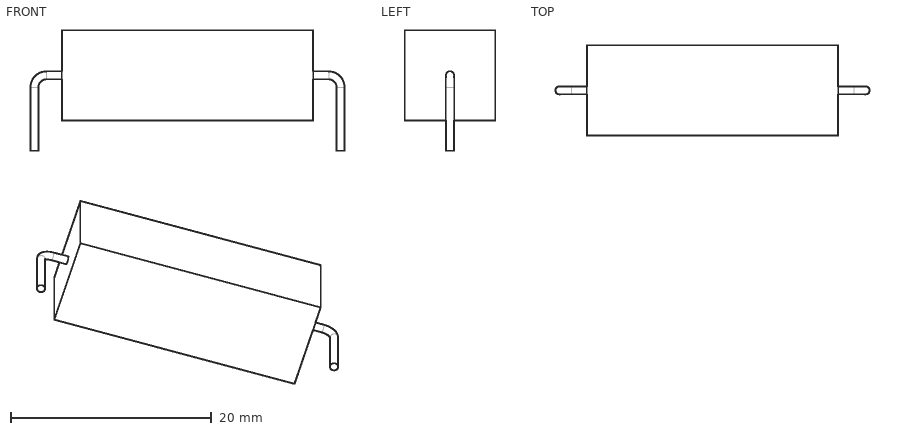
import cadquery as cq

overall_length = 31.28
body_length = 25.0
body_side = 9.0
overall_height = 12.0
lead_diameter = 0.8
bend_radius = 1.2

body_bottom = overall_height - body_side
body_end = body_length / 2
lead_axis_height = body_bottom + body_side / 2
lead_leg_x = (overall_length - lead_diameter) / 2
bend_start_x = lead_leg_x - bend_radius
bend_end_z = lead_axis_height - bend_radius


def make_body():
    """Square block raised above the lead tips."""
    return (
        cq.Workplane("XY")
        .workplane(offset=body_bottom)
        .rect(body_length, body_side)
        .extrude(body_side)
    )


def make_lead():
    """Round lead leaving the +X end face and bending down to Z = 0."""
    stub = (
        cq.Workplane("YZ", origin=(body_end, 0, lead_axis_height))
        .circle(lead_diameter / 2)
        .extrude(bend_start_x - body_end)
    )
    bend_path = (
        cq.Workplane("XZ")
        .moveTo(bend_start_x, lead_axis_height)
        .radiusArc((lead_leg_x, bend_end_z), bend_radius)
    )
    bend = (
        cq.Workplane("YZ", origin=(bend_start_x, 0, lead_axis_height))
        .circle(lead_diameter / 2)
        .sweep(bend_path)
    )
    leg = (
        cq.Workplane("XY", origin=(lead_leg_x, 0, 0))
        .circle(lead_diameter / 2)
        .extrude(bend_end_z)
    )
    return stub.union(bend).union(leg)


lead = make_lead()
result = make_body().union(lead).union(lead.mirror("YZ"))